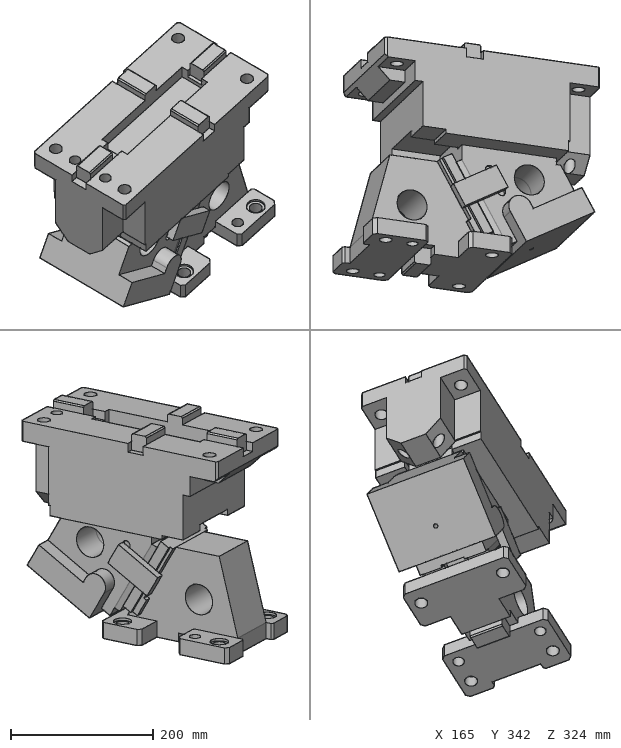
import cadquery as cq
import math

WIDTH = 165.0
HOLDER_LENGTH = 325.0
HOLDER_TOP = 312.0
PLATE_THICKNESS = 30.0
PLATE_CORNER = 3.0
REAR_WALL_Y = 279.8
REAR_WALL_DEPTH = 60.0
REAR_STEP_Y = 268.0
REAR_STEP_DEPTH = 127.2
FOOT_REAR_Y = 233.2
FOOT_DEPTH = 133.0
FRONT_WALL_Y = 45.8
FOOT_FRONT_Y = 48.0
HUB_HALF = 42.5
HUB_STRAIGHT_DEPTH = 118.0
HUB_DEPTH = 141.0
REAR_RIB_DEPTH = 48.0
REAR_RIB_CHAMFER = 22.5
CHANNEL_HALF = 37.0
POCKET_HALF = 23.0
POCKET_Y = (80.5, 259.5)
POCKET_DEPTH = 20.0
BOLT_DIA = 18.0
DOWEL_DIA = 16.0
BOLT_X = 62.2
BOLT_MARGIN = 25.3
DOWEL_X = 27.5

KEY_SIZE = 25.0
KEY_LENGTH = 50.0
KEY_CHAMFER = 2.0
KEY_STANDOUT = 12.0
KEY_SLOT_DEPTH = KEY_SIZE - KEY_STANDOUT
KEY_MARGIN = 10.3
CROSS_KEY_Y = 189.5

TILT = math.radians(30)
SOLE_CORNER = (109.0, 35.2)
SOLE_LENGTH = 119.5
SOLE_HALF = 75.5
LEDGE_V = 39.5
BOSS_RADIUS = 17.5
BOSS_V = 48.5
SLIDE_HALF = 51.5
SLIDE_REAR_U = -16.5
SLIDE_LOW_V = 9.5
SLIDE_TOP = 178.0
SLIDE_REAR_Y = 197.5
SLIDE_FRONT_Y = 54.7
SHOULDER_TOP = 168.3
TONGUE_HALF = 34.0
TONGUE_HEIGHT = 13.7
RUNNER_U = -25.3
RUNNER_V = (24.5, 148.5)
RUNNER_HALF = 49.2
HOOK_U = (-53.0, 22.0)
HOOK_V = (83.8, 119.5)
HOOK_OUTER = 63.5
RELIEF_RADIUS = 6.0
RELIEF_DEPTH = 5.0
LIFT_HOLE_DIA = 45.0
SLIDE_HOLE = (95.5, 139.2)
SOLE_HOLE_U = 43.0
SOLE_HOLE_DIA = 6.0
SOLE_HOLE_DEPTH = 20.5

DRIVER_HALF = 38.0
DRIVER_BOTTOM = KEY_STANDOUT
BASE_TOP = 36.3
DRIVER_REAR_Y = 331.5
DRIVER_TOP_REAR_Y = 300.5
DRIVER_FRONT_U = -34.2
EAR_CHAMFER = 5.0
EAR_INNER_CHAMFER = 3.0
REAR_EAR_Y = (258.5, 342.0)
FRONT_EAR_Y = (131.5, 197.5)
BASE_KEY_Y = REAR_EAR_Y[0] - KEY_SIZE / 2
DRIVER_HOLE = (267.0, 81.7)
LINER_REAR_U = -45.0
LINER_STEP_U = -40.7
LINER_FACE_U = -25.5
LINER_V = (36.3, 161.8)
LINER_HALF = 46.5
LINER_FLANGE_HALF = 51.3
LIP_U = -50.0
LIP_TOP_V = 66.5
RIDGE_U = -14.0
RIDGE_HALF = 17.0
RIDGE_GAP = 0.7
BASE_BOLT_X = 64.0
BASE_BOLT_YS = (156.5, 317.0)
BASE_DOWEL_Y = 276.7
COUNTERBORE_DIA = 26.0
COUNTERBORE_DEPTH = 3.5


def box(x_range, y_range, z_range):
    """Axis-aligned box between the given limits."""
    size = [b - a for a, b in (x_range, y_range, z_range)]
    corner = (x_range[0], y_range[0], z_range[0])
    return cq.Workplane("XY").box(*size, centered=False).translate(corner)


def profile(points, half):
    """Y-Z outline extruded evenly to both sides of the middle plane."""
    return cq.Workplane("YZ").polyline(points).close().extrude(half, both=True)


def tilted(u, v):
    """Y, Z of a point given in the slide's tilted frame."""
    y = SOLE_CORNER[0] - u * math.cos(TILT) + v * math.sin(TILT)
    z = SOLE_CORNER[1] + u * math.sin(TILT) + v * math.cos(TILT)
    return (y, z)


def tilted_block(u_range, v_range, half):
    """Block square to the slide's tilted frame."""
    corners = [(u_range[0], v_range[0]), (u_range[1], v_range[0]),
               (u_range[1], v_range[1]), (u_range[0], v_range[1])]
    return profile([tilted(u, v) for u, v in corners], half)


def vertical_hole(x, y, dia, z_range):
    height = z_range[1] - z_range[0]
    return cq.Workplane("XY", origin=(x, y, z_range[0])).circle(dia / 2).extrude(height)


def cross_hole(center, dia):
    return cq.Workplane("YZ").center(*center).circle(dia / 2).extrude(WIDTH, both=True)


def key(length):
    """Key along Y, centred on the origin, with its two long top edges chamfered."""
    bar = cq.Workplane("XY").box(KEY_SIZE, length, KEY_SIZE)
    return bar.faces(">Z").edges("|Y").chamfer(KEY_CHAMFER)


def depth(d):
    """Height of a level that lies d below the holder top."""
    return HOLDER_TOP - d


def make_holder():
    half = WIDTH / 2
    plate = box((-half, half), (0, HOLDER_LENGTH), (depth(PLATE_THICKNESS), HOLDER_TOP))
    plate = plate.edges("|Z").chamfer(PLATE_CORNER)

    casting = profile([
        (FRONT_WALL_Y, depth(PLATE_THICKNESS)),
        (REAR_WALL_Y, depth(PLATE_THICKNESS)),
        (REAR_WALL_Y, depth(REAR_WALL_DEPTH)),
        (REAR_STEP_Y, depth(REAR_WALL_DEPTH)),
        (REAR_STEP_Y, depth(REAR_STEP_DEPTH)),
        (FOOT_REAR_Y, depth(REAR_STEP_DEPTH)),
        (FOOT_REAR_Y, depth(FOOT_DEPTH)),
        (FOOT_FRONT_Y, depth(FOOT_DEPTH)),
        (FOOT_FRONT_Y, depth(HUB_STRAIGHT_DEPTH)),
        (FRONT_WALL_Y, depth(HUB_STRAIGHT_DEPTH)),
    ], half)
    channel = box((-CHANNEL_HALF, CHANNEL_HALF), (FOOT_FRONT_Y, HOLDER_LENGTH),
                  (depth(FOOT_DEPTH), depth(HUB_STRAIGHT_DEPTH)))
    casting = casting.cut(channel)

    hub_chamfer = HUB_DEPTH - HUB_STRAIGHT_DEPTH
    hub = box((-HUB_HALF, HUB_HALF), (0, FOOT_FRONT_Y), (depth(HUB_DEPTH), depth(PLATE_THICKNESS)))
    hub = hub.faces("<Z").edges("|Y").chamfer(hub_chamfer)

    rear_rib = box((-HUB_HALF, HUB_HALF), (REAR_WALL_Y, HOLDER_LENGTH),
                   (depth(REAR_RIB_DEPTH), depth(PLATE_THICKNESS)))
    holder = plate.union(casting).union(hub).union(rear_rib)

    rear_bevel = profile([
        (HOLDER_LENGTH, depth(REAR_RIB_DEPTH)),
        (HOLDER_LENGTH, depth(REAR_RIB_DEPTH - REAR_RIB_CHAMFER)),
        (HOLDER_LENGTH - REAR_RIB_CHAMFER, depth(REAR_RIB_DEPTH)),
    ], half)
    holder = holder.cut(rear_bevel)

    slot_z = (depth(KEY_SLOT_DEPTH), HOLDER_TOP)
    key_half = KEY_SIZE / 2
    holder = holder.cut(box((-key_half, key_half), (0, HOLDER_LENGTH), slot_z))
    holder = holder.cut(box((-half, half), (CROSS_KEY_Y - key_half, CROSS_KEY_Y + key_half), slot_z))
    holder = holder.cut(box((-POCKET_HALF, POCKET_HALF), POCKET_Y, (depth(POCKET_DEPTH), HOLDER_TOP)))

    bottom_to_top = (depth(HUB_DEPTH), HOLDER_TOP)
    for side in (-1, 1):
        for y in (BOLT_MARGIN, HOLDER_LENGTH - BOLT_MARGIN):
            holder = holder.cut(vertical_hole(side * BOLT_X, y, BOLT_DIA, bottom_to_top))
        holder = holder.cut(vertical_hole(side * DOWEL_X, BOLT_MARGIN, DOWEL_DIA, bottom_to_top))

    key_z = HOLDER_TOP + KEY_STANDOUT - key_half
    end_offset = KEY_MARGIN + KEY_LENGTH / 2
    for y in (end_offset, HOLDER_LENGTH - end_offset):
        holder = holder.union(key(KEY_LENGTH).translate((0, y, key_z)))
    cross_key = key(KEY_LENGTH).rotate((0, 0, 0), (0, 0, 1), 90)
    for side in (-1, 1):
        x = side * (POCKET_HALF + KEY_LENGTH / 2)
        holder = holder.union(cross_key.translate((x, CROSS_KEY_Y, key_z)))
    return holder


def make_slide():
    boss_arc_top = tilted(BOSS_RADIUS, BOSS_V + BOSS_RADIUS)
    sole = (
        cq.Workplane("YZ")
        .moveTo(*tilted(0, 0))
        .lineTo(*tilted(SOLE_LENGTH, 0))
        .lineTo(*tilted(SOLE_LENGTH, LEDGE_V))
        .lineTo(*tilted(2 * BOSS_RADIUS, LEDGE_V))
        .lineTo(*tilted(2 * BOSS_RADIUS, BOSS_V))
        .threePointArc(boss_arc_top, tilted(0, BOSS_V))
        .close()
        .extrude(SOLE_HALF, both=True)
    )

    shoulder_v = (SHOULDER_TOP - SOLE_CORNER[1] - SOLE_LENGTH * math.sin(TILT)) / math.cos(TILT)
    rear_v = (SLIDE_REAR_Y - SOLE_CORNER[0] + SLIDE_REAR_U * math.cos(TILT)) / math.sin(TILT)
    block = profile([
        tilted(SLIDE_REAR_U, SLIDE_LOW_V),
        tilted(SOLE_LENGTH, SLIDE_LOW_V),
        tilted(SOLE_LENGTH, shoulder_v),
        (SLIDE_FRONT_Y, SHOULDER_TOP),
        (SLIDE_FRONT_Y, SLIDE_TOP),
        (SLIDE_REAR_Y, SLIDE_TOP),
        tilted(SLIDE_REAR_U, rear_v),
    ], SLIDE_HALF)
    tongue = box((-TONGUE_HALF, TONGUE_HALF), (SLIDE_FRONT_Y, SLIDE_REAR_Y),
                 (SLIDE_TOP, SLIDE_TOP + TONGUE_HEIGHT))

    runner_plane = cq.Plane(origin=(0, *tilted(0, RUNNER_V[0])), xDir=(1, 0, 0),
                            normal=(0, math.sin(TILT), math.cos(TILT)))
    runner = (
        cq.Workplane(runner_plane)
        .polyline([(-SLIDE_HALF, -SLIDE_REAR_U), (SLIDE_HALF, -SLIDE_REAR_U),
                   (RUNNER_HALF, -RUNNER_U), (-RUNNER_HALF, -RUNNER_U)])
        .close()
        .extrude(RUNNER_V[1] - RUNNER_V[0])
    )

    slide = sole.union(block).union(tongue).union(runner)
    ridge_groove = tilted_block((RUNNER_U, RIDGE_U + RIDGE_GAP), (SLIDE_LOW_V, LINER_V[1]),
                                RIDGE_HALF + RIDGE_GAP)
    slide = slide.cut(ridge_groove)
    slide = slide.cut(cross_hole(SLIDE_HOLE, LIFT_HOLE_DIA))

    sole_plane = cq.Plane(origin=(0, *tilted(SOLE_HOLE_U, 0)), xDir=(1, 0, 0),
                          normal=(0, math.sin(TILT), math.cos(TILT)))
    slide = slide.cut(cq.Workplane(sole_plane).circle(SOLE_HOLE_DIA / 2).extrude(SOLE_HOLE_DEPTH))

    relief_u = HOOK_U[1] - RELIEF_RADIUS
    for side in (-1, 1):
        inner = side * SLIDE_HALF
        for v in HOOK_V:
            relief = (cq.Workplane("YZ", origin=(inner, 0, 0)).center(*tilted(relief_u, v))
                      .circle(RELIEF_RADIUS).extrude(-side * RELIEF_DEPTH))
            slide = slide.cut(relief)
    hooks = tilted_block(HOOK_U, HOOK_V, HOOK_OUTER)
    gap = tilted_block(HOOK_U, HOOK_V, SLIDE_HALF)
    return slide.union(hooks.cut(gap))


def make_driver():
    half = WIDTH / 2
    front_foot_v = (BASE_TOP - SOLE_CORNER[1] - DRIVER_FRONT_U * math.sin(TILT)) / math.cos(TILT)
    front_foot = tilted(DRIVER_FRONT_U, front_foot_v)
    seat_top = tilted(LINER_REAR_U, LINER_V[1])
    body = profile([
        (front_foot[0], DRIVER_BOTTOM),
        front_foot,
        tilted(DRIVER_FRONT_U, LINER_V[0]),
        tilted(LINER_REAR_U, LINER_V[0]),
        seat_top,
        (DRIVER_TOP_REAR_Y, seat_top[1]),
        (DRIVER_REAR_Y, BASE_TOP),
        (DRIVER_REAR_Y, DRIVER_BOTTOM),
    ], DRIVER_HALF)

    base_z = (DRIVER_BOTTOM, BASE_TOP)
    front_foot_plate = box((-half, half), FRONT_EAR_Y, base_z).edges("|Z").chamfer(EAR_CHAMFER)
    driver = body.union(front_foot_plate)
    for x_range in ((-half, -DRIVER_HALF), (DRIVER_HALF, half)):
        outer, inner = ("<X", ">X") if x_range[0] < 0 else (">X", "<X")
        ear = box(x_range, REAR_EAR_Y, base_z)
        ear = ear.edges(f"|Z and {outer}").chamfer(EAR_CHAMFER)
        ear = ear.edges(f"|Z and {inner} and >Y").chamfer(EAR_INNER_CHAMFER)
        driver = driver.union(ear)

    driver = driver.union(tilted_block((LINER_STEP_U, LINER_FACE_U), LINER_V, LINER_FLANGE_HALF))
    driver = driver.union(tilted_block((LINER_REAR_U, LINER_STEP_U), LINER_V, LINER_HALF))
    driver = driver.union(tilted_block((LIP_U, LINER_STEP_U), (LINER_V[0], LIP_TOP_V), LINER_HALF))
    driver = driver.union(tilted_block((LINER_FACE_U, RIDGE_U), LINER_V, RIDGE_HALF))

    driver = driver.cut(cross_hole(DRIVER_HOLE, LIFT_HOLE_DIA))
    counterbore_z = (BASE_TOP - COUNTERBORE_DEPTH, BASE_TOP)
    for side in (-1, 1):
        x = side * BASE_BOLT_X
        for y in BASE_BOLT_YS:
            driver = driver.cut(vertical_hole(x, y, BOLT_DIA, base_z))
            driver = driver.cut(vertical_hole(x, y, COUNTERBORE_DIA, counterbore_z))
        driver = driver.cut(vertical_hole(x, BASE_DOWEL_Y, DOWEL_DIA, base_z))

    key_half = KEY_SIZE / 2
    driver = driver.cut(box((-DRIVER_HALF, DRIVER_HALF), (BASE_KEY_Y - key_half, BASE_KEY_Y + key_half),
                            (DRIVER_BOTTOM, KEY_SIZE)))
    base_key = key(KEY_LENGTH).rotate((0, 0, 0), (0, 0, 1), 90).rotate((0, 0, 0), (1, 0, 0), 180)
    return driver.union(base_key.translate((0, BASE_KEY_Y, key_half)))


holder = make_holder()
slide = make_slide()
driver = make_driver()

result = cq.Compound.makeCompound([body.solids().val() for body in (holder, slide, driver)])